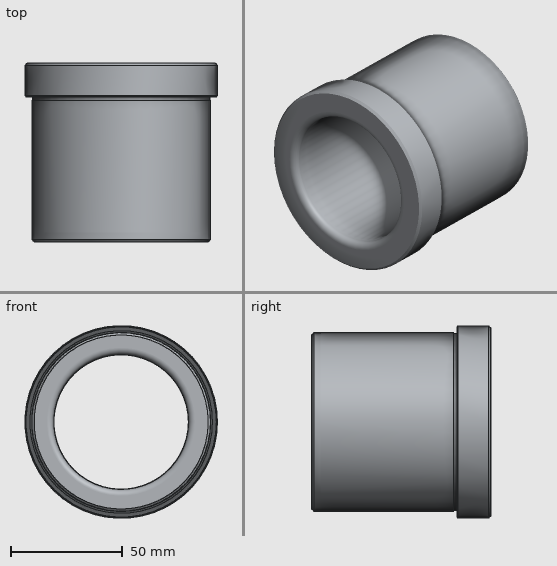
import cadquery as cq

length = 80.0
head_diameter = 86.0
body_diameter = 80.0
bore_diameter = 60.0
head_length = 15.1
head_rear_chamfer = 1.0
head_front_chamfer = 0.5
bore_mouth_radius = 3.0

groove_width = 1.55
groove_depth = 0.35
face_relief_depth = 0.2
face_relief_reach = 0.8

lead_length = 3.1
lead_depth = 0.1
tip_chamfer = 1.0

head_radius = head_diameter / 2
body_radius = body_diameter / 2
bore_radius = bore_diameter / 2
groove_radius = body_radius - groove_depth
face_relief_radius = body_radius + face_relief_reach
lead_radius = body_radius - lead_depth
head_rear = length / 2
head_front = head_rear - head_length
tip = -length / 2


def make_bushing():
    """Revolve the outer profile, drawn as (radius, axial place), about Y."""
    profile = (
        cq.Workplane("XY")
        .moveTo(0, tip)
        .lineTo(lead_radius - tip_chamfer, tip)
        .lineTo(lead_radius, tip + tip_chamfer)
        .lineTo(body_radius, tip + tip_chamfer + lead_length)
        .lineTo(body_radius, head_front - groove_width)
        .lineTo(groove_radius, head_front - groove_width)
        .lineTo(groove_radius, head_front + face_relief_depth)
        .lineTo(face_relief_radius, head_front + face_relief_depth)
        .lineTo(face_relief_radius, head_front)
        .lineTo(head_radius - head_front_chamfer, head_front)
        .lineTo(head_radius, head_front + head_front_chamfer)
        .lineTo(head_radius, head_rear - head_rear_chamfer)
        .lineTo(head_radius - head_rear_chamfer, head_rear)
        .lineTo(0, head_rear)
        .close()
    )
    return profile.revolve(360, (0, 0, 0), (0, 1, 0))


def make_bore():
    """Through bore whose two mouths flare out with a convex round."""
    mouth_radius = bore_radius + bore_mouth_radius
    arc_inset = bore_mouth_radius * (1 - 0.5**0.5)
    profile = (
        cq.Workplane("XY")
        .moveTo(0, tip)
        .lineTo(mouth_radius, tip)
        .threePointArc(
            (bore_radius + arc_inset, tip + arc_inset),
            (bore_radius, tip + bore_mouth_radius),
        )
        .lineTo(bore_radius, head_rear - bore_mouth_radius)
        .threePointArc(
            (bore_radius + arc_inset, head_rear - arc_inset),
            (mouth_radius, head_rear),
        )
        .lineTo(0, head_rear)
        .close()
    )
    return profile.revolve(360, (0, 0, 0), (0, 1, 0))


result = make_bushing().cut(make_bore())